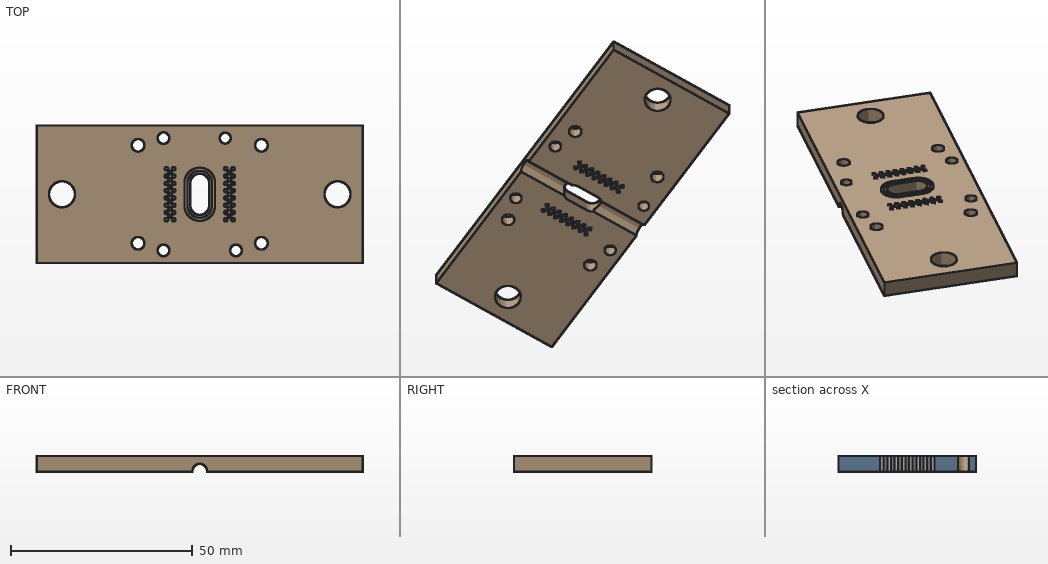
import cadquery as cq

length, width, thickness = 90.0, 38.0, 4.4

mounting_diameter, mounting_x = 7.1, 38.0
screw_diameter, screw_x, screw_y = 3.4, 17.0, 13.5
dowel_diameter, dowel_x, dowel_y = 3.15, 10.0, 15.5
key_diameter, key_x = 3.0, 7.0

pin_diameter = 0.88
pin_field_x = 8.2
pin_column_offset = 1.0
pin_rows = 8
pin_pitch = 14.0 / (pin_rows - 1)

end_centre_spacing = 6.2
window_width = 5.1
groove_inner_width = 6.75
groove_outer_width = 8.5
groove_depth = 0.5

channel_diameter = 4.0
channel_axis_z = 0.2


def drill(diameter, points):
    return cq.Workplane("XY").pushPoints(points).circle(diameter / 2).extrude(thickness)


def mirrored(x, y):
    return [(sx * x, sy * y) for sx in (-1, 1) for sy in (-1, 1)]


def oblong(across, bottom_z):
    """Oblong prism along Y, from bottom_z up to the top face."""
    return (
        cq.Workplane("XY", origin=(0, 0, bottom_z))
        .slot2D(end_centre_spacing + across, across, 90)
        .extrude(thickness - bottom_z)
    )


def pin_column(x, rows):
    return [(x, (row - (rows - 1) / 2) * pin_pitch) for row in range(rows)]


def pin_field(x):
    """Two full columns with a shorter column staggered between them."""
    left = pin_column(x - pin_column_offset, pin_rows)
    middle = pin_column(x, pin_rows - 1)
    right = pin_column(x + pin_column_offset, pin_rows)
    return left + middle + right


plate = cq.Workplane("XY").box(length, width, thickness, centered=(True, True, False))

mounting_holes = drill(mounting_diameter, [(-mounting_x, 0), (mounting_x, 0)])
screw_holes = drill(screw_diameter, mirrored(screw_x, screw_y))
dowel_holes = drill(dowel_diameter, [(-dowel_x, dowel_y), (-dowel_x, -dowel_y), (dowel_x, -dowel_y)])
key_hole = drill(key_diameter, [(key_x, dowel_y)])
pin_holes = drill(pin_diameter, pin_field(-pin_field_x) + pin_field(pin_field_x))

window = oblong(window_width, 0)
groove_floor_z = thickness - groove_depth
seal_groove = oblong(groove_outer_width, groove_floor_z).cut(oblong(groove_inner_width, groove_floor_z))

channel = (
    cq.Workplane("XZ")
    .center(0, channel_axis_z)
    .circle(channel_diameter / 2)
    .extrude(width / 2, both=True)
)

result = plate
for cutter in (mounting_holes, screw_holes, dowel_holes, key_hole, pin_holes, window, seal_groove, channel):
    result = result.cut(cutter)